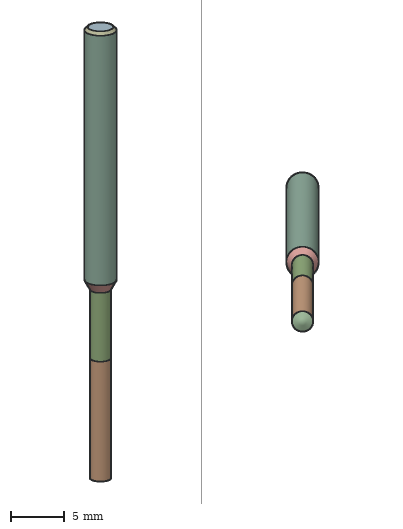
import cadquery as cq
import math

total_length = 45.0
shank_radius = 1.508
neck_radius = 1.0

joint_height = 12.25
neck_top = 19.05
shank_bottom = 20.0

top_chamfer = 0.3
point_angle = 140.0
point_height = neck_radius / math.tan(math.radians(point_angle / 2))


def revolve_profile(points):
    """Revolve a closed (radius, height) outline about the Z axis, starting in the YZ plane."""
    return cq.Workplane("YZ").polyline(points).close().revolve(360, (0, 0), (0, 1))


def make_holder():
    """Shank with a chamfered top, a conical shoulder and a slender neck."""
    return revolve_profile([
        (0, joint_height),
        (neck_radius, joint_height),
        (neck_radius, neck_top),
        (shank_radius, shank_bottom),
        (shank_radius, total_length - top_chamfer),
        (shank_radius - top_chamfer, total_length),
        (0, total_length),
    ])


def make_drill_tip():
    """Cylindrical drill tip with a conical point, butted against the neck."""
    tip = revolve_profile([
        (0, 0),
        (neck_radius, point_height),
        (neck_radius, joint_height),
        (0, joint_height),
    ])
    return tip.rotate((0, 0, 0), (0, 0, 1), 90)


holder = make_holder()
drill_tip = make_drill_tip()

result = cq.Compound.makeCompound([holder.val(), drill_tip.val()])